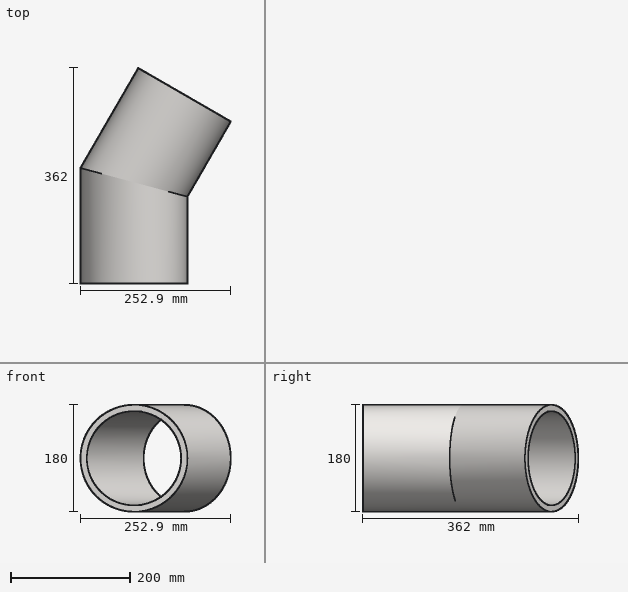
import cadquery as cq
import math

total_length = 362.0
outer_diameter = 180.0
wall = 11.0
bend_angle = 30.0

outer_radius = outer_diameter / 2
inner_radius = outer_radius - wall
bend = math.radians(bend_angle)

end_face_reach = outer_radius * math.sin(bend)
leg_length = (total_length - end_face_reach) / (1 + math.cos(bend))

mitre_point = (0, leg_length)
end_point = (
    leg_length * math.sin(bend),
    leg_length * (1 + math.cos(bend)),
)
centreline = cq.Workplane("XY").polyline([(0, 0), mitre_point, end_point])

ring = cq.Workplane("XZ").circle(outer_radius).circle(inner_radius)
result = ring.sweep(centreline, transition="right")